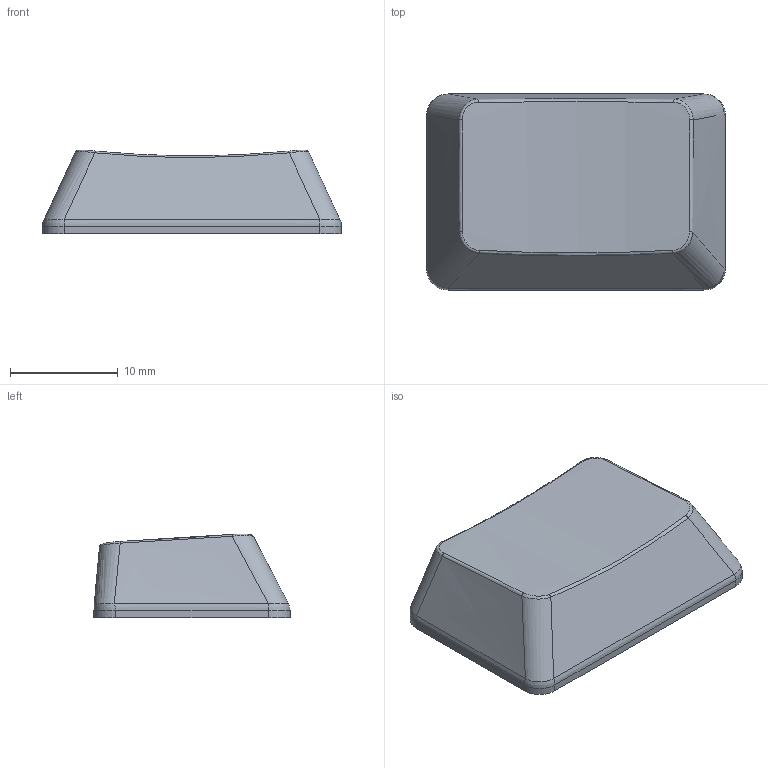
import cadquery as cq
import math

length = 27.69
width = 18.16
base_corner_radius = 2.0

band_top = 0.67
bend_top = 1.32
bend_height = bend_top - band_top

end_slope = math.radians(25.5)
front_slope = math.radians(27.5)
back_slope = math.radians(5.2)

top_tilt = math.radians(3.6)
top_height = 8.0
top_corner_radius = 1.9

dish_radius = 88.0
dish_bottom = 6.87
dish_length = 2 * width
rim_radius = 0.3


def wall_inset(slope, height):
    """Distance a wall has moved in from the base outline at the given height."""
    if height >= bend_top:
        return bend_height * math.tan(slope / 2) + (height - bend_top) * math.tan(slope)
    bend_radius = bend_height / math.sin(slope)
    return bend_radius - math.sqrt(bend_radius**2 - (height - band_top) ** 2)


def rounded_rectangle(size_x, size_y, corner_radius):
    return cq.Sketch().rect(size_x, size_y).vertices().fillet(corner_radius)


def level_outline(height):
    """Horizontal outline of the skirt at the given height."""
    end_inset = wall_inset(end_slope, height)
    size_x = length - 2 * end_inset
    front_y = -width / 2 + wall_inset(front_slope, height)
    back_y = width / 2 - wall_inset(back_slope, height)
    outline = rounded_rectangle(size_x, back_y - front_y, base_corner_radius - end_inset)
    return outline.moved(cq.Location(cq.Vector(0, (front_y + back_y) / 2, height)))


def top_outline():
    """Outline where the front and back walls meet the tilted top plane."""
    fall = math.tan(top_tilt)
    size_x = length - 2 * wall_inset(end_slope, top_height)
    front_y = (-width / 2 + wall_inset(front_slope, top_height)) / (1 + fall * math.tan(front_slope))
    back_y = (width / 2 - wall_inset(back_slope, top_height)) / (1 - fall * math.tan(back_slope))
    size_y = (back_y - front_y) / math.cos(top_tilt)
    centre_y = (front_y + back_y) / 2
    centre = cq.Vector(0, centre_y, top_height - centre_y * fall)
    tilted = cq.Location(centre, cq.Vector(1, 0, 0), -math.degrees(top_tilt))
    return rounded_rectangle(size_x, size_y, top_corner_radius).moved(tilted)


def make_band():
    return cq.Workplane("XY").placeSketch(level_outline(band_top)).extrude(-band_top)


def make_bend():
    """Curved transition between the vertical band and the sloping walls."""
    bend_middle = (band_top + bend_top) / 2
    return (
        cq.Workplane("XY")
        .placeSketch(level_outline(band_top), level_outline(bend_middle), level_outline(bend_top))
        .loft()
    )


def make_walls():
    return cq.Workplane("XY").placeSketch(level_outline(bend_top), top_outline()).loft(ruled=True)


def make_dish():
    """Cylinder that hollows the top of the blank."""
    return (
        cq.Workplane("XZ")
        .circle(dish_radius)
        .extrude(dish_length / 2, both=True)
        .translate((0, 0, dish_radius))
        .rotate((0, 0, 0), (1, 0, 0), -math.degrees(top_tilt))
        .translate((0, 0, dish_bottom))
    )


def round_rim(body):
    """Round the edge where the dish meets the walls."""
    dish_face = body.faces(">Z")
    return dish_face.edges().fillet(rim_radius)


blank = make_band().union(make_bend()).union(make_walls())
result = round_rim(blank.cut(make_dish()))